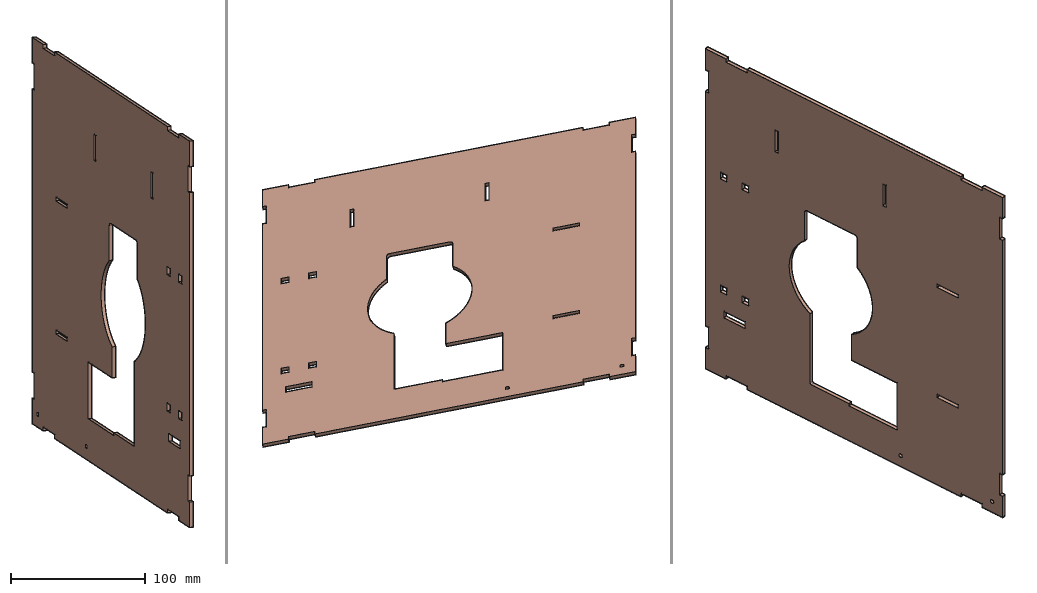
import cadquery as cq

width = 285.0
height = 300.0
thickness = 3.0

notch_length = 20.0
notch_depth = 3.0
notch_centre = 30.0

slot_length = 20.0
slot_width = 3.0
upright_slot_xs = (113.5, 216.5)
upright_slot_z = 246.3
level_slot_x = 52.8
level_slot_zs = (83.5, 186.5)

square_size = 6.0
square_xs = (246.5, 267.5)
square_zs = (82.2, 188.0)
wide_slot_height = 6.0
wide_slot_z = 59.5
wide_slot_x = sum(square_xs) / 2

pin_hole_diameter = 3.0
pin_hole_xs = (10.2, 97.8)
pin_hole_z = 10.2

window_x = 164.7
window_z = 135.3
window_radius = 40.0
head_width = 50.5
head_top = 195.5
head_corner_radius = 2.5
neck_width = 39.5
neck_bottom = 34.8
neck_corner_radius = 1.2
bay_left = 101.5
bay_right = 147.3
bay_bottom = 32.7
bay_top = 76.5


def block(left, right, bottom, top):
    """Box through the full plate thickness, bounded in X and Z."""
    size_x = right - left
    size_z = top - bottom
    corner = (left, -thickness / 2, bottom)
    return cq.Workplane("XY").box(size_x, thickness, size_z, centered=False).translate(corner)


def centred_block(x, z, size_x, size_z):
    return block(x - size_x / 2, x + size_x / 2, z - size_z / 2, z + size_z / 2)


def disc(x, z, radius):
    """Cylinder along Y through the full plate thickness."""
    return cq.Workplane("XZ").center(x, z).circle(radius).extrude(thickness / 2, both=True)


def cut_notches(plate):
    span = 2 * notch_depth
    for x in (notch_centre, width - notch_centre):
        for z in (0, height):
            plate = plate.cut(centred_block(x, z, notch_length, span))
    for x in (0, width):
        for z in (notch_centre, height - notch_centre):
            plate = plate.cut(centred_block(x, z, span, notch_length))
    return plate


def cut_slots(plate):
    for x in upright_slot_xs:
        plate = plate.cut(centred_block(x, upright_slot_z, slot_width, slot_length))
    for z in level_slot_zs:
        plate = plate.cut(centred_block(level_slot_x, z, slot_length, slot_width))
    return plate.cut(centred_block(wide_slot_x, wide_slot_z, slot_length, wide_slot_height))


def cut_holes(plate):
    for x in square_xs:
        for z in square_zs:
            plate = plate.cut(centred_block(x, z, square_size, square_size))
    for x in pin_hole_xs:
        plate = plate.cut(disc(x, pin_hole_z, pin_hole_diameter / 2))
    return plate


def cut_central_opening(plate):
    window = disc(window_x, window_z, window_radius)
    head = block(window_x - head_width / 2, window_x + head_width / 2, window_z, head_top)
    head = head.edges("|Y and >Z").fillet(head_corner_radius)
    neck = block(window_x - neck_width / 2, window_x + neck_width / 2, neck_bottom, window_z)
    neck = neck.edges("|Y and >X and <Z").fillet(neck_corner_radius)
    bay = block(bay_left, bay_right, bay_bottom, bay_top)
    for opening in (window, head, neck, bay):
        plate = plate.cut(opening)
    return plate


plate = block(0, width, 0, height)
plate = cut_notches(plate)
plate = cut_slots(plate)
plate = cut_holes(plate)
result = cut_central_opening(plate)